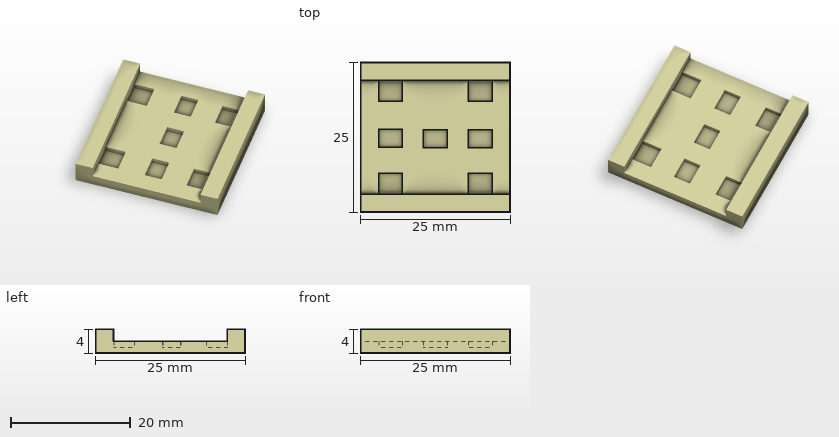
import cadquery as cq

side = 25.0
height = 4.0
rail_width = 3.0
floor_height = 2.0
channel_width = side - 2 * rail_width

pocket_length = 4.0
pocket_depth = 1.0
column_spacing = 7.5
middle_pocket_width = 3.0
corner_pocket_width = 3.5
corner_pocket_y = (channel_width - corner_pocket_width) / 2
left_pocket_y = -0.15
other_pocket_y = -0.25


def block_above(z, length, width, depth, x=0.0, y=0.0):
    """Box centred on (x, y) that rises from height z."""
    box = cq.Workplane("XY").box(length, width, depth, centered=(True, True, False))
    return box.translate((x, y, z))


def pocket(x, y, width):
    """Cutter for one pocket below the channel floor."""
    return block_above(floor_height - pocket_depth, pocket_length, width, pocket_depth, x, y)


result = block_above(0, side, side, height)
result = result.cut(block_above(floor_height, side, channel_width, height - floor_height))

for x in (-column_spacing, column_spacing):
    for y in (-corner_pocket_y, corner_pocket_y):
        result = result.cut(pocket(x, y, corner_pocket_width))

for x, y in (
    (-column_spacing, left_pocket_y),
    (0.0, other_pocket_y),
    (column_spacing, other_pocket_y),
):
    result = result.cut(pocket(x, y, middle_pocket_width))